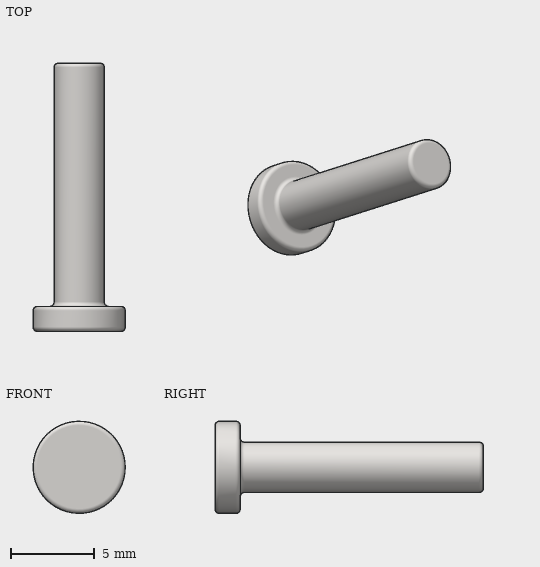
import cadquery as cq

total_length = 16.0
head_diameter = 5.5
head_thickness = 1.5
shank_diameter = 3.0
edge_radius = 0.25


def cylinder_along_y(diameter, length):
    """Solid cylinder on the Y axis, running from Y = 0 towards +Y."""
    return cq.Workplane("XZ").circle(diameter / 2).extrude(-length)


head = cylinder_along_y(head_diameter, head_thickness)
shank = cylinder_along_y(shank_diameter, total_length)

result = head.union(shank, clean=True).edges("%CIRCLE").fillet(edge_radius)